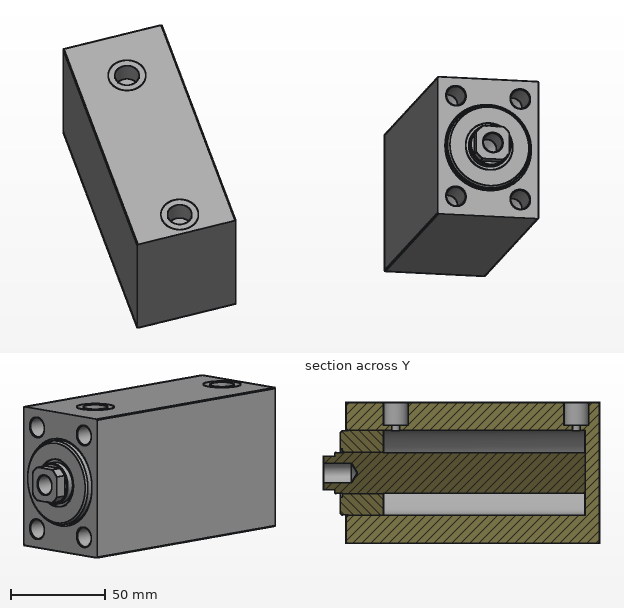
import cadquery as cq
import math


total_length = 147.0
rod_tip_length = 6.0
rod_shoulder_length = 3.0
gland_protrusion = 3.1
housing_length = total_length - rod_tip_length - rod_shoulder_length - gland_protrusion
housing_width = 55.0
housing_height = 75.0
long_edge_chamfer = 0.5

bore_diameter = 45.0
bore_end_wall = 8.0
bore_depth = housing_length - bore_end_wall
bore_mouth_chamfer = 1.0

drill_diameter = 10.3
drill_mouth_chamfer = 0.37
drill_point_angle = 118.0
mounting_hole_depth = 20.0
mounting_spacing_y = 35.0
mounting_spacing_z = 55.0
rod_hole_depth = 15.0

front_port_x = 26.5
port_spacing = 96.0
port_positions = [front_port_x, front_port_x + port_spacing]
port_seat_diameter = 20.0
port_seat_depth = 0.1
port_diameter = 13.0
port_depth = 12.0
port_passage_diameter = 4.0

gland_depth = 20.0
gland_chamfer = 1.0
gland_recess_diameter = 25.6
gland_recess_depth = 1.0

rod_diameter = 22.0
rod_shoulder_chamfer = 0.5
rod_tip_diameter = rod_diameter - 2 * rod_shoulder_chamfer
rod_across_flats = 18.0
gland_front_x = -gland_protrusion
rod_shoulder_x = gland_front_x - rod_shoulder_length
rod_tip_x = rod_shoulder_x - rod_tip_length


def revolve_about_x(profile):
    """Full turn of an (x, radius) outline about the X axis."""
    return cq.Workplane("XY").polyline(profile).close().revolve(360, (0, 0, 0), (1, 0, 0))


def axial_cylinder(diameter, x_start, x_end):
    """Cylinder on the X axis between two X positions."""
    return cq.Workplane("YZ", origin=(x_start, 0, 0)).circle(diameter / 2).extrude(x_end - x_start)


def drilled_hole(depth):
    """Cutter for a chamfered hole with a conical end, entering at X = 0 toward +X."""
    radius = drill_diameter / 2
    point_length = radius / math.tan(math.radians(drill_point_angle / 2))
    return revolve_about_x([
        (0, 0),
        (0, radius + drill_mouth_chamfer),
        (drill_mouth_chamfer, radius),
        (depth, radius),
        (depth + point_length, 0),
    ])


def port_cutter(x):
    """Cutter for one port: shallow seat, port hole and narrow passage down to the bore."""
    top = cq.Workplane("XY", origin=(x, 0, housing_height / 2))
    seat = top.circle(port_seat_diameter / 2).extrude(-port_seat_depth)
    port = top.circle(port_diameter / 2).extrude(-port_depth)
    passage = top.circle(port_passage_diameter / 2).extrude(-housing_height / 2)
    return seat.union(port).union(passage)


def bore_cutter():
    """Cutter for the blind bore with its chamfered mouth."""
    radius = bore_diameter / 2
    return revolve_about_x([
        (0, 0),
        (0, radius + bore_mouth_chamfer),
        (bore_mouth_chamfer, radius),
        (bore_depth, radius),
        (bore_depth, 0),
    ])


def make_housing():
    housing = (
        cq.Workplane("XY")
        .box(housing_length, housing_width, housing_height, centered=(False, True, True))
        .edges("|X")
        .chamfer(long_edge_chamfer)
        .cut(bore_cutter())
    )
    for y in (-mounting_spacing_y / 2, mounting_spacing_y / 2):
        for z in (-mounting_spacing_z / 2, mounting_spacing_z / 2):
            housing = housing.cut(drilled_hole(mounting_hole_depth).translate((0, y, z)))
    for x in port_positions:
        housing = housing.cut(port_cutter(x))
    return housing


def make_gland():
    ring = axial_cylinder(bore_diameter, gland_front_x, gland_depth).faces("<X").chamfer(gland_chamfer)
    rod_bore = axial_cylinder(rod_diameter, gland_front_x, gland_depth)
    recess = axial_cylinder(gland_recess_diameter, gland_front_x, gland_front_x + gland_recess_depth)
    return ring.cut(rod_bore).cut(recess)


def make_rod():
    shaft = axial_cylinder(rod_diameter, rod_shoulder_x, bore_depth).faces("<X").chamfer(rod_shoulder_chamfer)
    flats = cq.Workplane("XY").box(
        rod_tip_length, rod_across_flats, rod_across_flats, centered=(False, True, True)
    ).translate((rod_tip_x, 0, 0))
    tip = axial_cylinder(rod_tip_diameter, rod_tip_x, rod_shoulder_x).intersect(flats)
    end_hole = drilled_hole(rod_hole_depth).translate((rod_tip_x, 0, 0))
    return shaft.union(tip).cut(end_hole)


housing = make_housing()
gland = make_gland()
rod = make_rod()

result = cq.Compound.makeCompound([housing.val(), gland.val(), rod.val()])